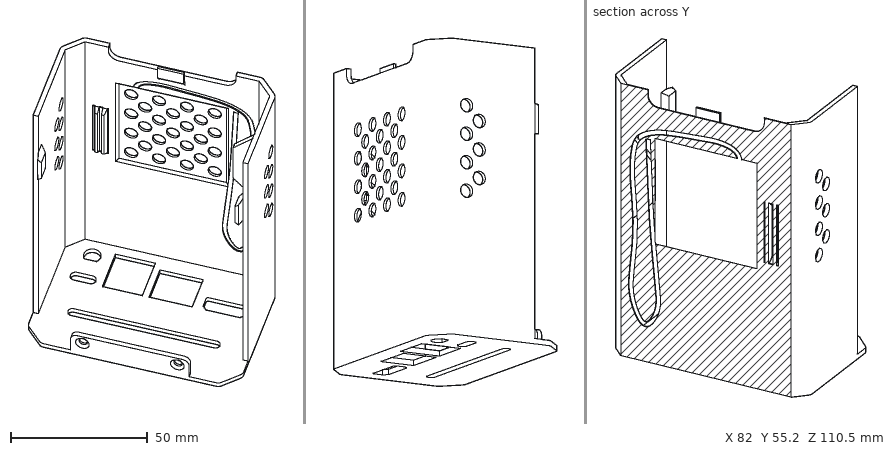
import cadquery as cq

WIDTH = 82.0
DEPTH = 55.25
HEIGHT = 110.5
SIDE_WALL = 2.0
BACK_WALL = 2.0
FLOOR = 2.0
CORNER_CHAMFER = 7.0
CORNER_RADIUS = 2.5
INNER_CHAMFER = 5.8
SIDE_WALL_FRONT_Y = 13.5

INNER_X = WIDTH / 2 - SIDE_WALL
INNER_BACK_Y = DEPTH - BACK_WALL
OVERLAP = 1.0

NOTCH_WIDTH = 48.6
NOTCH_DEPTH = 6.3
NOTCH_RADIUS = 4.2

TAB_WIDTH = 10.0
TAB_BOTTOM_Z = 98.9
TAB_BEND_TOP_Z = 102.5
TAB_TOP_Z = 107.2
TAB_GAP = 1.0
TAB_THICKNESS = 0.9
TAB_ROOT_HEIGHT = 1.5

VENT_CENTER_Z = 70.1
VENT_DIAMETER = 5.0
VENT_PITCH = 5.32
VENT_STEPS = 3
SIDE_VENT_Y = DEPTH - 13.05
POCKET_SIZE = 43.0
POCKET_DEPTH = 1.0
POCKET_WALL_SLOPE = 45.0

GROOVE_WIDTH = 1.75
GROOVE_DEPTH = 0.5
GROOVE_PATH = [
    (-14.2, 90.0),
    (-12.7, 93.7),
    (-7.2, 95.9),
    (4.1, 95.8),
    (14.7, 95.0),
    (24.5, 92.6),
    (28.6, 89.5),
    (30.4, 84.3),
    (29.75, 57.5),
    (30.9, 37.7),
    (29.8, 20.8),
    (25.3, 15.2),
    (21.7, 18.9),
    (20.3, 30.7),
    (22.9, 58.9),
    (23.8, 80.0),
    (24.3, 90.3),
]

HOLDER_X = -27.3
HOLDER_Z = 64.2
HOLDER_WIDTH = 6.0
HOLDER_LENGTH = 24.4
HOLDER_RECESS_DEPTH = 0.4
RIB_PAIR_X = -27.1
RIB_HEIGHT = 2.1
RIB_BASE_OFFSET = 2.45
RIB_TIP_OFFSET = 1.75
RIB_GAP = 1.5
RIB_END_CHAMFER = 1.6

HOOK_CENTER_Z = 84.7
HOOK_LENGTH = 12.0
HOOK_HEIGHT = 2.1
HOOK_END_RUN = 1.7
HOOK_BACK_Y = 17.6
HOOK_TIP_Y = 10.4
HOOK_TIP_GAP = 0.7

FLAG_CENTER_Z = 70.5
FLAG_TIP_X = 25.3
FLAG_SLOPE_END_X = 37.1
FLAG_TIP_HEIGHT = 16.5
FLAG_FRONT_Y = DEPTH - 8.95
FLAG_THICKNESS = 2.1
FLAG_FILLET = 1.5
FLAG_STEM_X = 35.8
FLAG_STEM_FILLET = 0.8

LIP_WIDTH = 45.3
LIP_TOP_Z = 10.6
LIP_THICKNESS = 1.8
LIP_RADIUS = 2.7
SCREW_X = 18.1
SCREW_Z = 7.0
SCREW_DIAMETER = 3.2
COUNTERSINK_DIAMETER = 5.2
COUNTERSINK_ANGLE = 90.0

PORT_FRONT_Y = DEPTH - 22.25
JACK_X = -28.35
JACK_Y = DEPTH - 8.9
JACK_DIAMETER = 6.4
JACK_FLAT_OFFSET = 2.3
USB_C_X = -28.35
USB_C_LENGTH = 9.75
USB_C_WIDTH = 3.9
ETHERNET_X = (-20.5, -5.25)
ETHERNET_LENGTH = 16.45
USB_X = (-2.7, 13.8)
USB_LENGTH = 13.8
HDMI_X = (17.5, 33.6)
HDMI_LENGTH = 5.95
HDMI_CHAMFER = 1.6
HDMI_RADIUS = 0.8
CABLE_SLOT_Y = DEPTH - 37.4
CABLE_SLOT_LENGTH = 58.0
CABLE_SLOT_WIDTH = 3.4


def box(x0, x1, y0, y1, z0, z1):
    """Box between two opposite corners."""
    return cq.Workplane("XY").box(x1 - x0, y1 - y0, z1 - z0, centered=False).translate((x0, y0, z0))


def facing_front(y):
    """Workplane at depth y whose local axes are X and Z; it extrudes toward the front (-Y)."""
    return cq.Workplane("XZ", origin=(0, y, 0))


def make_shell():
    outer = (
        cq.Workplane("XY")
        .box(WIDTH, DEPTH, HEIGHT, centered=(True, False, False))
        .edges("|Z")
        .chamfer(CORNER_CHAMFER)
        .edges("|Z")
        .fillet(CORNER_RADIUS)
    )
    chamfer_x = INNER_X - INNER_CHAMFER
    chamfer_y = INNER_BACK_Y - INNER_CHAMFER
    cavity = (
        cq.Workplane("XY", origin=(0, 0, FLOOR))
        .polyline([
            (-INNER_X, -OVERLAP),
            (INNER_X, -OVERLAP),
            (INNER_X, chamfer_y),
            (chamfer_x, INNER_BACK_Y),
            (-chamfer_x, INNER_BACK_Y),
            (-INNER_X, chamfer_y),
        ])
        .close()
        .extrude(HEIGHT)
    )
    open_front = box(-WIDTH, WIDTH, -OVERLAP, SIDE_WALL_FRONT_Y, FLOOR, HEIGHT + OVERLAP)
    return outer.cut(cavity).cut(open_front)


def make_notch():
    half = NOTCH_WIDTH / 2
    y0 = INNER_BACK_Y - OVERLAP
    notch = box(-half, half, y0, DEPTH + OVERLAP, HEIGHT - NOTCH_DEPTH, HEIGHT + OVERLAP)
    return notch.edges("|Y and <Z").fillet(NOTCH_RADIUS)


def make_tab():
    """Tab that leaves the back wall in an S-bend of two equal arcs and rises parallel to it."""
    root_y = INNER_BACK_Y
    rear_y = root_y - TAB_GAP
    front_y = rear_y - TAB_THICKNESS
    half_depth = (root_y - front_y) / 2
    half_rise = (TAB_BEND_TOP_Z - TAB_BOTTOM_Z) / 2
    bend_radius = (half_depth**2 + half_rise**2) / (2 * half_depth)
    bend_middle = (root_y - half_depth, TAB_BOTTOM_Z + half_rise)
    return (
        cq.Workplane("YZ", origin=(-TAB_WIDTH / 2, 0, 0))
        .moveTo(root_y + OVERLAP, TAB_BOTTOM_Z + TAB_ROOT_HEIGHT)
        .lineTo(root_y + OVERLAP, TAB_BOTTOM_Z)
        .lineTo(root_y, TAB_BOTTOM_Z)
        .radiusArc(bend_middle, -bend_radius)
        .radiusArc((front_y, TAB_BEND_TOP_Z), bend_radius)
        .lineTo(front_y, TAB_TOP_Z)
        .lineTo(rear_y, TAB_TOP_Z)
        .lineTo(rear_y, TAB_BEND_TOP_Z)
        .lineTo(root_y, TAB_BOTTOM_Z + TAB_ROOT_HEIGHT)
        .close()
        .extrude(TAB_WIDTH)
    )


def make_pocket():
    """Shallow square recess with sloping walls."""
    return (
        cq.Workplane("XZ", origin=(0, INNER_BACK_Y, VENT_CENTER_Z))
        .rect(POCKET_SIZE, POCKET_SIZE)
        .extrude(-POCKET_DEPTH, taper=POCKET_WALL_SLOPE)
    )


def make_back_vents():
    """Holes on every second point of a square grid, with a hole at each corner."""
    steps = range(-VENT_STEPS, VENT_STEPS + 1)
    points = [
        (i * VENT_PITCH, VENT_CENTER_Z + k * VENT_PITCH)
        for i in steps
        for k in steps
        if (i + k) % 2 == 0
    ]
    back = facing_front(DEPTH + OVERLAP).pushPoints(points)
    return back.circle(VENT_DIAMETER / 2).extrude(BACK_WALL + 2 * OVERLAP)


def make_side_vents():
    """Two staggered columns of holes through both side walls."""
    points = []
    for k in range(-VENT_STEPS, VENT_STEPS + 1):
        column = (k + VENT_STEPS) % 2
        points.append((SIDE_VENT_Y - column * VENT_PITCH, VENT_CENTER_Z + k * VENT_PITCH))
    side = cq.Workplane("YZ").pushPoints(points)
    return side.circle(VENT_DIAMETER / 2).extrude(WIDTH / 2 + OVERLAP, both=True)


def make_groove():
    """Rectangular section, centred on the wall surface, swept along the cable path."""
    path = facing_front(INNER_BACK_Y).spline(GROOVE_PATH)
    start = path.val().startPoint()
    tangent = path.val().tangentAt(0)
    section = cq.Plane(origin=start, xDir=(0, 1, 0), normal=tangent)
    return cq.Workplane(section).rect(2 * GROOVE_DEPTH, GROOVE_WIDTH).sweep(path)


def make_holder_recess():
    return (
        cq.Workplane("XZ", origin=(HOLDER_X, INNER_BACK_Y, HOLDER_Z))
        .rect(HOLDER_WIDTH, HOLDER_LENGTH)
        .extrude(-HOLDER_RECESS_DEPTH)
    )


def make_holder_ribs():
    """Two mirrored ribs with sloping outer flanks and chamfered ends."""
    root_y = INNER_BACK_Y + HOLDER_RECESS_DEPTH
    tip_y = INNER_BACK_Y - RIB_HEIGHT
    half = HOLDER_LENGTH / 2
    rib = (
        cq.Workplane("XY", origin=(0, 0, -half))
        .polyline([
            (RIB_GAP / 2, root_y),
            (RIB_BASE_OFFSET, root_y),
            (RIB_BASE_OFFSET, INNER_BACK_Y),
            (RIB_TIP_OFFSET, tip_y),
            (RIB_GAP / 2, tip_y),
        ])
        .close()
        .extrude(HOLDER_LENGTH)
    )
    side_outline = (
        cq.Workplane("YZ")
        .polyline([
            (root_y, -half),
            (INNER_BACK_Y, -half),
            (tip_y, -half + RIB_END_CHAMFER),
            (tip_y, half - RIB_END_CHAMFER),
            (INNER_BACK_Y, half),
            (root_y, half),
        ])
        .close()
        .extrude(HOLDER_WIDTH)
    )
    rib = rib.intersect(side_outline)
    return rib.union(rib.mirror("YZ")).translate((RIB_PAIR_X, 0, HOLDER_Z))


def make_hook():
    """Hook on the right-hand wall, its ends narrowing toward the middle of the tray."""
    tip_x = INNER_X - HOOK_HEIGHT
    wall_x = INNER_X + OVERLAP
    plan = (
        cq.Workplane("XY", origin=(0, 0, HOOK_CENTER_Z - HOOK_LENGTH / 2))
        .polyline([
            (wall_x, SIDE_WALL_FRONT_Y),
            (INNER_X, SIDE_WALL_FRONT_Y),
            (INNER_X - HOOK_TIP_GAP, HOOK_TIP_Y),
            (tip_x, HOOK_TIP_Y),
            (tip_x, HOOK_BACK_Y - HOOK_HEIGHT),
            (INNER_X, HOOK_BACK_Y),
            (wall_x, HOOK_BACK_Y),
        ])
        .close()
        .extrude(HOOK_LENGTH)
    )
    half = HOOK_LENGTH / 2
    elevation = (
        facing_front(HOOK_BACK_Y)
        .polyline([
            (wall_x, HOOK_CENTER_Z - half),
            (INNER_X, HOOK_CENTER_Z - half),
            (tip_x, HOOK_CENTER_Z - half + HOOK_END_RUN),
            (tip_x, HOOK_CENTER_Z + half - HOOK_END_RUN),
            (INNER_X, HOOK_CENTER_Z + half),
            (wall_x, HOOK_CENTER_Z + half),
        ])
        .close()
        .extrude(HOOK_BACK_Y - HOOK_TIP_Y)
    )
    return plan.intersect(elevation)


def make_flag():
    """Plate with 45-degree top and bottom edges, on a stem joined to the rear corner."""
    rear_y = FLAG_FRONT_Y + FLAG_THICKNESS
    stem_end_x = INNER_X + OVERLAP
    stem_end_y = INNER_BACK_Y - (FLAG_STEM_X - (INNER_X - INNER_CHAMFER))
    corner_y = INNER_BACK_Y - INNER_CHAMFER
    tip_half = FLAG_TIP_HEIGHT / 2
    root_half = tip_half + FLAG_SLOPE_END_X - FLAG_TIP_X
    plan = (
        cq.Workplane("XY", origin=(0, 0, FLAG_CENTER_Z - root_half))
        .moveTo(FLAG_TIP_X, FLAG_FRONT_Y)
        .lineTo(INNER_X - FLAG_FILLET, FLAG_FRONT_Y)
        .radiusArc((INNER_X, FLAG_FRONT_Y - FLAG_FILLET), FLAG_FILLET)
        .lineTo(stem_end_x, FLAG_FRONT_Y - FLAG_FILLET)
        .lineTo(stem_end_x, corner_y)
        .lineTo(FLAG_STEM_X + OVERLAP, stem_end_y)
        .lineTo(FLAG_STEM_X, stem_end_y)
        .lineTo(FLAG_STEM_X, rear_y + FLAG_STEM_FILLET)
        .radiusArc((FLAG_STEM_X - FLAG_STEM_FILLET, rear_y), FLAG_STEM_FILLET)
        .lineTo(FLAG_TIP_X, rear_y)
        .close()
        .extrude(2 * root_half)
    )
    elevation = (
        facing_front(INNER_BACK_Y)
        .polyline([
            (FLAG_TIP_X, FLAG_CENTER_Z - tip_half),
            (FLAG_SLOPE_END_X, FLAG_CENTER_Z - root_half),
            (stem_end_x, FLAG_CENTER_Z - root_half),
            (stem_end_x, FLAG_CENTER_Z + root_half),
            (FLAG_SLOPE_END_X, FLAG_CENTER_Z + root_half),
            (FLAG_TIP_X, FLAG_CENTER_Z + tip_half),
        ])
        .close()
        .extrude(INNER_BACK_Y)
    )
    return plan.intersect(elevation)


def make_lip():
    half = LIP_WIDTH / 2
    lip = box(-half, half, 0, LIP_THICKNESS, 0, LIP_TOP_Z).edges("|Y and >Z").fillet(LIP_RADIUS)
    screws = [(-SCREW_X, SCREW_Z), (SCREW_X, SCREW_Z)]
    return (
        lip.faces("<Y")
        .workplane(origin=(0, 0, 0))
        .pushPoints(screws)
        .cskHole(SCREW_DIAMETER, COUNTERSINK_DIAMETER, COUNTERSINK_ANGLE)
    )


def floor_plane():
    """Workplane just below the floor, from which the floor cutters rise."""
    return cq.Workplane("XY", origin=(0, 0, -OVERLAP))


def make_floor_openings():
    cut_height = FLOOR + 2 * OVERLAP
    top_z = cut_height - OVERLAP

    jack = floor_plane().center(JACK_X, JACK_Y).circle(JACK_DIAMETER / 2).extrude(cut_height)
    jack_front = JACK_Y - JACK_FLAT_OFFSET
    jack = jack.cut(box(-WIDTH, WIDTH, 0, jack_front, -OVERLAP, top_z))

    usb_c = (
        floor_plane()
        .center(USB_C_X, PORT_FRONT_Y + USB_C_WIDTH / 2)
        .slot2D(USB_C_LENGTH, USB_C_WIDTH)
        .extrude(cut_height)
    )
    ethernet = box(*ETHERNET_X, PORT_FRONT_Y, PORT_FRONT_Y + ETHERNET_LENGTH, -OVERLAP, top_z)
    usb = box(*USB_X, PORT_FRONT_Y, PORT_FRONT_Y + USB_LENGTH, -OVERLAP, top_z)
    hdmi = (
        box(*HDMI_X, PORT_FRONT_Y, PORT_FRONT_Y + HDMI_LENGTH, -OVERLAP, top_z)
        .edges("|Z and <Y")
        .chamfer(HDMI_CHAMFER)
        .edges("|Z and >Y")
        .fillet(HDMI_RADIUS)
    )
    cable_slot = (
        floor_plane()
        .center(0, CABLE_SLOT_Y)
        .slot2D(CABLE_SLOT_LENGTH, CABLE_SLOT_WIDTH)
        .extrude(cut_height)
    )
    return [jack, usb_c, ethernet, usb, hdmi, cable_slot]


right_hook = make_hook()
cuts = [
    make_notch(),
    make_pocket(),
    make_back_vents(),
    make_side_vents(),
    make_groove(),
    make_holder_recess(),
    *make_floor_openings(),
]
additions = [
    make_tab(),
    make_holder_ribs(),
    right_hook,
    right_hook.mirror("YZ"),
    make_flag(),
    make_lip(),
]

result = make_shell()
for cutter in cuts:
    result = result.cut(cutter)
for piece in additions:
    result = result.union(piece)